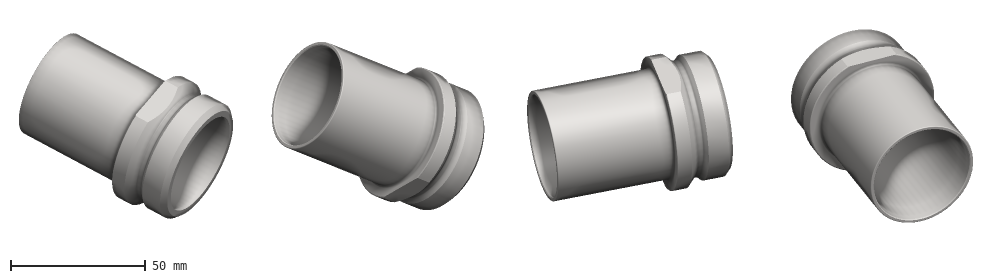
import cadquery as cq
import math

length = 67.5
flange_face_x = 44.95
flange_rim_end_x = 50.7

bore_diameter = 39.0
tube_diameter = 42.0
groove_diameter = 44.4
head_diameter = 47.7
flange_diameter = 51.0
across_flats = 47.0

tube_end_round = 0.35
bore_end_chamfer = 0.35
tube_root_fillet = 0.8
flange_face_round = 0.4
groove_fillet = 0.6
head_end_chamfer = 1.95

groove_floor_length = 1.95

bore_radius = bore_diameter / 2
tube_radius = tube_diameter / 2
groove_radius = groove_diameter / 2
head_radius = head_diameter / 2
flange_radius = flange_diameter / 2

groove_start_x = flange_rim_end_x + flange_radius - groove_radius
groove_end_x = groove_start_x + groove_floor_length
head_start_x = groove_end_x + head_radius - groove_radius

groove_tangent = groove_fillet * math.tan(math.radians(22.5))
groove_flank_offset = groove_tangent * math.cos(math.radians(45))
groove_mid_x = groove_tangent - groove_fillet * math.sin(math.radians(22.5))
groove_mid_rise = groove_fillet * (1 - math.cos(math.radians(22.5)))


def quarter_arc(profile, corner, leave, enter):
    """Add a tangent quarter arc from (corner - leave) to (corner + enter)."""
    start = (corner[0] - leave[0], corner[1] - leave[1])
    end = (corner[0] + enter[0], corner[1] + enter[1])
    center = (start[0] + enter[0], start[1] + enter[1])
    pull = math.sqrt(0.5)
    middle = tuple(c + pull * (k - c) for c, k in zip(center, corner))
    return profile.lineTo(*start).threePointArc(middle, end)


def revolved_body():
    """Revolve the half section, drawn as (axial position, radius), about X."""
    profile = cq.Workplane("XY").moveTo(bore_end_chamfer, bore_radius)
    profile = profile.lineTo(0, bore_radius + bore_end_chamfer)
    r = tube_end_round
    profile = quarter_arc(profile, (0, tube_radius), (0, r), (r, 0))
    r = tube_root_fillet
    profile = quarter_arc(profile, (flange_face_x, tube_radius), (r, 0), (0, r))
    r = flange_face_round
    profile = quarter_arc(profile, (flange_face_x, flange_radius), (0, r), (r, 0))
    profile = (
        profile.lineTo(flange_rim_end_x, flange_radius)
        .lineTo(groove_start_x - groove_flank_offset, groove_radius + groove_flank_offset)
        .threePointArc(
            (groove_start_x + groove_mid_x, groove_radius + groove_mid_rise),
            (groove_start_x + groove_tangent, groove_radius),
        )
        .lineTo(groove_end_x - groove_tangent, groove_radius)
        .threePointArc(
            (groove_end_x - groove_mid_x, groove_radius + groove_mid_rise),
            (groove_end_x + groove_flank_offset, groove_radius + groove_flank_offset),
        )
        .lineTo(head_start_x, head_radius)
        .lineTo(length - head_end_chamfer, head_radius)
        .lineTo(length, head_radius - head_end_chamfer)
        .lineTo(length, bore_radius)
        .close()
    )
    return profile.revolve(360, (0, 0, 0), (1, 0, 0))


def flat_cutter(side):
    """Block that trims the flange to a wrench flat at +Z (side 1) or -Z (side -1)."""
    width = groove_start_x - flange_face_x
    height = flange_diameter - across_flats
    center_x = (flange_face_x + groove_start_x) / 2
    center_z = side * (across_flats + height) / 2
    return cq.Workplane("XY").box(width, flange_diameter, height).translate((center_x, 0, center_z))


result = revolved_body()
for side in (1, -1):
    result = result.cut(flat_cutter(side))